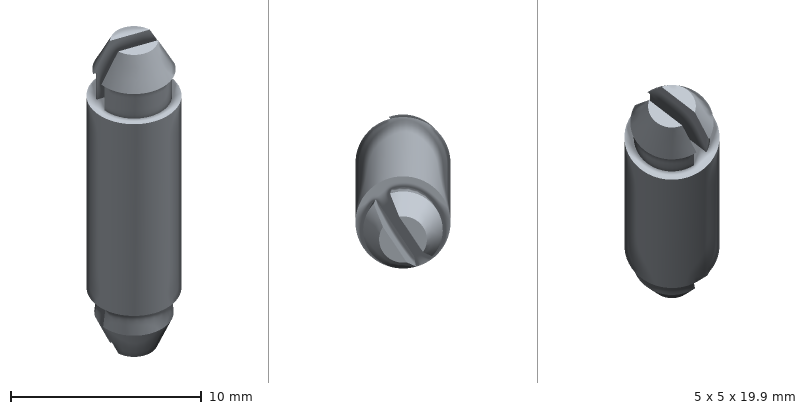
import cadquery as cq

total_length = 19.9
body_diameter = 5.0
body_radius = body_diameter / 2
slot_width = 1.01

upper_neck_height = 1.75
upper_head_height = 1.87
upper_neck_radius = 2.0
upper_head_radius = 2.19
upper_tip_radius = 1.25

lower_neck_height = 1.61
lower_head_height = 2.03
lower_root_radius = 1.91
lower_head_radius = 2.09
lower_tip_radius = 1.25

lower_shoulder = lower_head_height + lower_neck_height
upper_head_base = total_length - upper_head_height
upper_shoulder = upper_head_base - upper_neck_height


def turned_pin():
    """Solid pin revolved about Z from its half outline."""
    outline = [
        (0, 0),
        (lower_tip_radius, 0),
        (lower_head_radius, lower_head_height),
        (lower_root_radius, lower_shoulder),
        (body_radius, lower_shoulder),
        (body_radius, upper_shoulder),
        (upper_neck_radius, upper_shoulder),
        (upper_neck_radius, upper_head_base),
        (upper_head_radius, upper_head_base),
        (upper_tip_radius, total_length),
        (0, total_length),
    ]
    return cq.Workplane("XZ").polyline(outline).close().revolve(360, (0, 0), (0, 1))


def end_slot(bottom, top):
    """Cutter that splits one snap end into two prongs, running through along Y."""
    return (
        cq.Workplane("XY")
        .workplane(offset=bottom)
        .rect(slot_width, body_diameter)
        .extrude(top - bottom)
    )


result = turned_pin()
for slot_bottom, slot_top in [(0, lower_shoulder), (upper_shoulder, total_length)]:
    result = result.cut(end_slot(slot_bottom, slot_top))